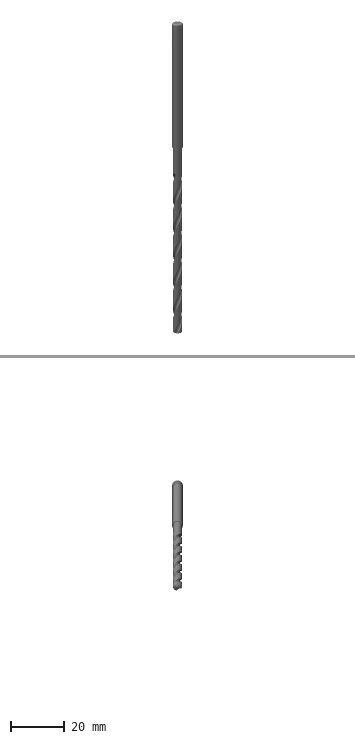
import cadquery as cq
import math

overall_length = 125.0
shank_diameter = 4.0
shank_length = 50.0
shank_chamfer = 0.3
drill_diameter = 3.4
cutting_tip_length = 58.0
point_angle = 135.0

flute_pitch = 21.9
flute_length = 63.0
flute_angle_at_point = 96.0
flute_depth = 0.7
flute_width_angle = 68.0
runout_length = 4.0
runout_slant = 45.0

drill_radius = drill_diameter / 2
shank_radius = shank_diameter / 2
neck_top = overall_length - shank_length
point_height = drill_radius / math.tan(math.radians(point_angle / 2))

floor_radius = drill_radius - flute_depth
half_flute_angle = math.radians(flute_width_angle / 2)
edge_rise = drill_radius * math.cos(half_flute_angle) - floor_radius
edge_offset = drill_radius * math.sin(half_flute_angle)
groove_radius = (edge_rise**2 + edge_offset**2) / (2 * edge_rise)
groove_center = floor_radius + groove_radius

bar_radius = shank_radius
bar_edge_x = (bar_radius**2 + groove_center**2 - groove_radius**2) / (2 * groove_center)
bar_edge_y = math.sqrt(bar_radius**2 - bar_edge_x**2)


def twist_over(length):
    """Helix rotation in degrees over a length along the axis."""
    return 360 * length / flute_pitch


def rotated_about_axis(body, angle):
    """Body rotated about the drill axis by an angle in degrees."""
    return body.rotate((0, 0, 0), (0, 0, 1), angle)


def fluted_bar(bottom, top):
    """Oversized helical bar with both grooves, its lands still proud of the drill surface."""
    length = top - bottom
    section = (
        cq.Workplane("XY")
        .moveTo(bar_edge_x, -bar_edge_y)
        .threePointArc((floor_radius, 0), (bar_edge_x, bar_edge_y))
        .threePointArc((0, bar_radius), (-bar_edge_x, bar_edge_y))
        .threePointArc((-floor_radius, 0), (-bar_edge_x, -bar_edge_y))
        .threePointArc((0, -bar_radius), (bar_edge_x, -bar_edge_y))
        .close()
    )
    bar = section.twistExtrude(length, twist_over(length))
    return rotated_about_axis(bar, flute_angle_at_point + twist_over(bottom)).translate((0, 0, bottom))


def runout_cutter(start_angle):
    """Straight slanted groove that carries the flute end out through the neck surface."""
    sideways = runout_length * math.tan(math.radians(runout_slant))
    path = cq.Workplane(
        cq.Edge.makeLine(
            cq.Vector(groove_center, 0, flute_length),
            cq.Vector(groove_center, sideways, flute_length + runout_length),
        )
    )
    groove = (
        cq.Workplane("XY", origin=(0, 0, flute_length))
        .moveTo(groove_center, 0)
        .circle(groove_radius)
        .sweep(path)
    )
    return rotated_about_axis(groove, start_angle + flute_angle_at_point + twist_over(flute_length))


def build_shank():
    """Clamping shank with the reduced neck in which the flutes run out."""
    outline = (
        cq.Workplane("XZ")
        .moveTo(0, cutting_tip_length)
        .lineTo(drill_radius, cutting_tip_length)
        .lineTo(drill_radius, neck_top)
        .lineTo(shank_radius, neck_top)
        .lineTo(shank_radius, overall_length - shank_chamfer)
        .lineTo(shank_radius - shank_chamfer, overall_length)
        .lineTo(0, overall_length)
        .close()
    )
    turned_body = rotated_about_axis(outline.revolve(360, (0, 0), (0, 1)), -90)
    unfluted_bar = (
        cq.Workplane("XY", origin=(0, 0, flute_length))
        .circle(shank_diameter)
        .extrude(overall_length - flute_length)
    )
    bar = unfluted_bar.union(fluted_bar(cutting_tip_length, flute_length))
    body = turned_body.intersect(bar)
    for start_angle in (0, 180):
        body = body.cut(runout_cutter(start_angle))
    return body


def build_cutting_tip():
    """Fluted cutting part with its conical point."""
    outline = (
        cq.Workplane("XZ")
        .lineTo(drill_radius, point_height)
        .lineTo(drill_radius, cutting_tip_length)
        .lineTo(0, cutting_tip_length)
        .close()
    )
    envelope = rotated_about_axis(outline.revolve(360, (0, 0), (0, 1)), 180)
    return fluted_bar(0, cutting_tip_length).intersect(envelope)


shank = build_shank()
cutting_tip = build_cutting_tip()

result = cq.Compound.makeCompound([*shank.solids().vals(), *cutting_tip.solids().vals()])